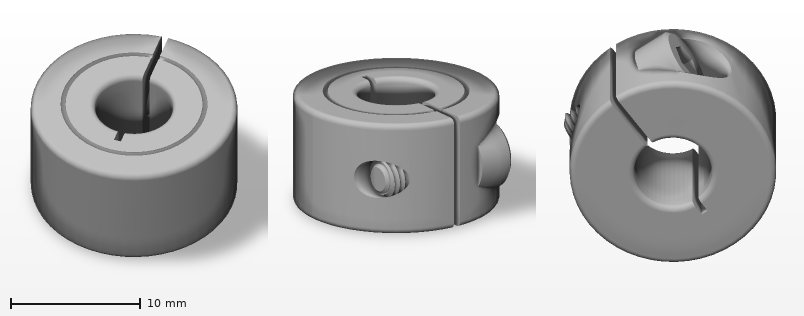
import cadquery as cq
import math

collar_diameter = 16.0
collar_radius = collar_diameter / 2
collar_height = 9.0
bore_diameter = 6.01
edge_fillet = 0.45

groove_mid_radius = 5.49
groove_radius = 0.2

slit_width = 0.57
notch_reach = 4.22

overall_depth = 16.24
head_diameter = 5.49
head_radius = head_diameter / 2
head_length = 2.99
head_chamfer = 0.31
socket_flats = 2.5
socket_depth = 1.3
screw_y = overall_depth - collar_radius - head_radius
seat_x = -2.24
shank_length = 8.0

turns_per_shank = 16
pitch = shank_length / turns_per_shank
crest_radius = 1.51
screw_hole_radius = 1.53
root_radius = 1.2
crest_x = pitch / 2
thread_length = 7.71
spiral_steps = 12
tip_radius = 1.19
tip_chamfer = 0.23


def x_cylinder(radius, length, start_x):
    """Cylinder on the screw axis, running in +X from start_x."""
    plane = cq.Plane(origin=(start_x, screw_y, 0), xDir=(0, 1, 0), normal=(1, 0, 0))
    return cq.Workplane(plane).circle(radius).extrude(length)


def make_collar():
    collar = cq.Workplane("XY").circle(collar_radius).circle(bore_diameter / 2).extrude(collar_height)
    collar = collar.translate((0, 0, -collar_height / 2))
    collar = collar.faces("<Z or >Z").edges().fillet(edge_fillet)

    groove = cq.Workplane("XY").add(
        cq.Solid.makeTorus(groove_mid_radius, groove_radius, cq.Vector(0, 0, collar_height / 2))
    )
    slit = cq.Workplane("XY").box(slit_width, collar_radius, collar_height, centered=(True, False, True))
    notch = cq.Workplane("XY").box(slit_width, notch_reach, collar_height, centered=(True, False, True))
    notch = notch.translate((0, -notch_reach, 0))

    screw_hole = x_cylinder(screw_hole_radius, collar_diameter, -collar_radius)
    head_recess = x_cylinder(head_radius, seat_x + collar_radius, -collar_radius)
    return collar.cut(groove).cut(slit).cut(notch).cut(screw_hole).cut(head_recess)


def spiral_point(t):
    """Half of the thread cross-section: crest at angle 0, root at half a turn."""
    radius = crest_radius + (root_radius - crest_radius) * t
    angle = math.pi * t
    return (radius * math.cos(angle), radius * math.sin(angle))


def make_thread():
    """Threaded rod: a spiral-in, spiral-out section twisted one turn per pitch."""
    points = [cq.Vector(*spiral_point(i / spiral_steps)) for i in range(spiral_steps + 1)]
    half = cq.Edge.makeSpline(points)
    section = cq.Wire.assembleEdges([half, half.mirror("XZ")])
    thread = cq.Workplane("XY").add(section).toPending()
    thread = thread.twistExtrude(thread_length, 360 * thread_length / pitch)
    thread = thread.rotate((0, 0, 0), (0, 1, 0), 90).rotate((0, 0, 0), (1, 0, 0), 90)
    phase = 360 * (seat_x - crest_x) / pitch
    return thread.rotate((0, 0, 0), (1, 0, 0), phase).translate((seat_x, screw_y, 0))


def make_screw():
    head = x_cylinder(head_radius, head_length, seat_x - head_length)
    head = head.faces("<X").edges().chamfer(head_chamfer)
    socket_corners = socket_flats / math.cos(math.pi / 6)
    socket = head.faces("<X").workplane(origin=(0, screw_y, 0)).polygon(6, socket_corners).extrude(
        -socket_depth, combine=False
    )
    tip = x_cylinder(tip_radius, shank_length - thread_length, seat_x + thread_length)
    tip = tip.faces(">X").chamfer(tip_chamfer)
    return head.cut(socket).union(make_thread()).union(tip)


collar = make_collar()
screw = make_screw()
result = cq.Compound.makeCompound([collar.val(), screw.val()])